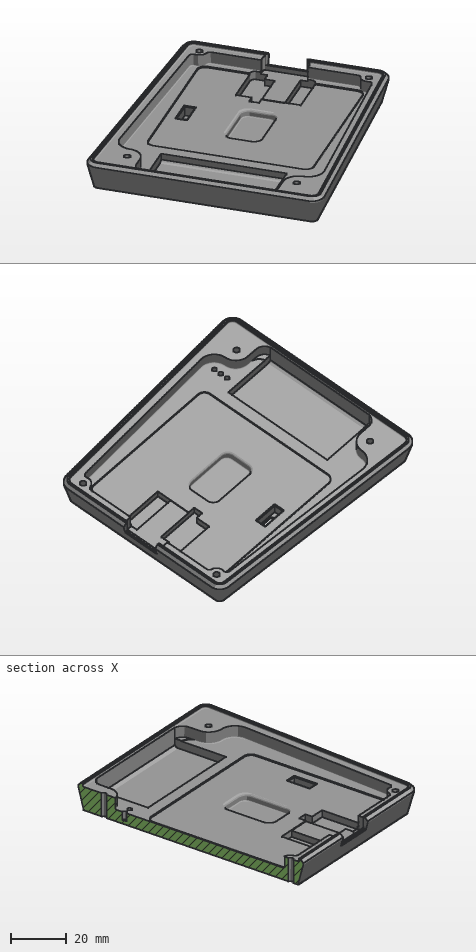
import cadquery as cq
import math

width = 89.25
length = 100.16
height = 10.9
side_lean = math.radians(3.55)
corner_radius = 4.6
rim_chamfer = 1.25
rim_band = 0.7
wall_draft = 15.0

ledge_z = height - 1.2
main_z = 5.0
panel_z = main_z - 0.5
connector_rest_z = panel_z - 0.25
deep_z = 1.7
switch_z = 0.6

base_fillet = 0.4

rim_inset = 2.2
rim_inner_chamfer = 0.25
pocket_side_inset = 4.8
pocket_back_inset = 5.1
pocket_front_inset = 2.6
front_y = -length / 2
back_y = length / 2
pocket_front_y = front_y + pocket_front_inset
pocket_back_y = back_y - pocket_back_inset

screw_x = 32.0
screw_back_y = 44.5
screw_front_y = -38.5
screw_diameter = 2.4
back_boss_radius = 3.0
front_boss_inner_x = 27.0
front_boss_back_y = -33.2
front_boss_radius = 5.8
back_boss_blend = 1.5
front_boss_blend = 6.0
front_shelf_y = -44.6
front_shelf_step = 0.2
front_corner_blend = 4.0

panel_width = 62.5
panel_y_min, panel_y_max = -19.9, 42.6
panel_radius = 3.0

centre_width, centre_length = 13.2, 21.6
centre_y = 6.5
centre_radius = 2.9
centre_lip = 1.1

battery_width = 47.5
battery_back_y = -24.7
battery_round = 1.9
battery_round_reach = 1.6

switch_x, switch_y = -25.2, 8.0
switch_width, switch_length = 3.8, 9.5
switch_lip = 0.35
switch_slot_width, switch_slot_length, switch_slot_radius = 2.8, 4.7, 0.8

led_diameter = 1.8
led_x, led_y = 31.5, -29.4
led_pitch = 3.03

connector_half = 12.3
connector_back_y, connector_front_y = 44.5, 26.3
connector_radius = 1.8
finger_x_min, finger_x_max, finger_y = -6.3, -2.5, 23.3
rest_x_max = 6.2
rest_step_y = 41.2

notch_half = 7.5
notch_inner_half = 8.85
notch_blend = 0.7
throat_blend = 0.6
sill_inset = 2.2
sill_z = 6.2
sill_step_inset = 1.4
sill_step = 0.3


def half_width_at(y, inset=0.0):
    """Half width of the body's straight side line at y, moved inwards by inset."""
    slope = math.tan(side_lean)
    stretch = 1 / math.cos(side_lean)
    front_half = width / 2 + corner_radius * (slope + stretch - 1)
    return front_half - (y - front_y) * slope - inset * stretch


def trapezoid(z, side_inset, front_inset, back_inset):
    y0 = front_y + front_inset
    y1 = back_y - back_inset
    x0 = half_width_at(y0, side_inset)
    x1 = half_width_at(y1, side_inset)
    return cq.Workplane("XY").workplane(offset=z).polyline([(-x0, y0), (x0, y0), (x1, y1), (-x1, y1)]).close()


def block(x0, x1, y0, y1, z0, z1):
    return cq.Workplane("XY").box(x1 - x0, y1 - y0, z1 - z0, centered=False).translate((x0, y0, z0))


def near(x, y):
    """Selector for the upright edge closest to (x, y)."""
    return cq.selectors.NearestToPointSelector((x, y, (main_z + height) / 2))


def make_shell():
    band_z = height - rim_chamfer - rim_band
    upper = trapezoid(band_z, 0, 0, 0).extrude(rim_chamfer + rim_band)
    upper = upper.edges("|Z").fillet(corner_radius).faces(">Z").chamfer(rim_chamfer)
    outline = upper.faces("<Z").wires().toPending()
    lower = outline.workplane(offset=0).extrude(band_z, combine=False, taper=wall_draft)
    return upper.union(lower)


def make_ledge_cut():
    cut = trapezoid(ledge_z, rim_inset, rim_inset, rim_inset).extrude(height - ledge_z)
    cut = cut.edges("|Z").fillet(corner_radius - rim_inset)
    cut = cut.faces("<Z").edges().fillet(base_fillet)
    flare_inset = rim_inset - rim_inner_chamfer
    flare = trapezoid(height - rim_inner_chamfer, flare_inset, flare_inset, flare_inset)
    flare = flare.extrude(2 * rim_inner_chamfer)
    flare = flare.edges("|Z").fillet(corner_radius - flare_inset).faces("<Z").chamfer(rim_inner_chamfer)
    return cut.union(flare)


def make_main_pocket():
    depth = height - main_z
    pocket = trapezoid(main_z, pocket_side_inset, pocket_front_inset, pocket_back_inset).extrude(depth)
    for side in (-1, 1):
        xs = sorted((side * width / 2, side * front_boss_inner_x))
        front_boss = block(*xs, front_y, front_boss_back_y, main_z, height)
        inner_corner = near(side * front_boss_inner_x, front_boss_back_y)
        front_boss = front_boss.edges("|Z").edges(inner_corner).fillet(front_boss_radius)
        back_boss = cq.Workplane("XY").workplane(offset=main_z).center(side * screw_x, screw_back_y)
        back_boss = back_boss.circle(back_boss_radius).extrude(depth)
        pocket = pocket.cut(front_boss).cut(back_boss)
        pocket = cq.Workplane(max(pocket.solids().vals(), key=lambda piece: piece.Volume()))

    for side in (-1, 1):
        side_x = side * half_width_at(front_boss_back_y, pocket_side_inset)
        pocket = pocket.edges("|Z").edges(near(side_x, front_boss_back_y)).fillet(front_boss_blend)
        corner = near(side * front_boss_inner_x, pocket_front_y)
        pocket = pocket.edges("|Z").edges(corner).fillet(front_corner_blend)
        boss_side_x = half_width_at(screw_back_y, pocket_side_inset)
        drop = math.sqrt(back_boss_radius**2 - (boss_side_x - screw_x) ** 2)
        corner = near(side * boss_side_x, screw_back_y - drop)
        pocket = pocket.edges("|Z").edges(corner).fillet(back_boss_blend)
        corner = near(side * (screw_x - back_boss_radius), pocket_back_y)
        pocket = pocket.edges("|Z").edges(corner).fillet(back_boss_blend)
    pocket = pocket.faces("<Z").edges().fillet(base_fillet)
    return pocket.cut(make_front_shelf())


def make_front_shelf():
    """Low strip of floor along the front wall, curving into the front bosses."""
    half = front_boss_inner_x
    top_z = main_z + front_shelf_step
    strip = block(-half, half, pocket_front_y, front_shelf_y + front_corner_blend, main_z, top_z)
    opening = block(-half, half, front_shelf_y, 0, main_z, top_z)
    return strip.cut(opening.edges("|Z and <Y").fillet(front_corner_blend))


def make_panel_recess():
    recess = block(-panel_width / 2, panel_width / 2, panel_y_min, panel_y_max, panel_z, main_z)
    recess = recess.edges("|Z").fillet(panel_radius)
    for side in (-1, 1):
        boss = cq.Workplane("XY").center(side * screw_x, screw_back_y).circle(back_boss_radius).extrude(height)
        recess = recess.cut(boss)
    return recess


def make_centre_pocket():
    pocket = cq.Workplane("XY").workplane(offset=deep_z).center(0, centre_y)
    pocket = pocket.rect(centre_width, centre_length).extrude(panel_z - deep_z)
    pocket = pocket.edges("|Z").fillet(centre_radius)
    return pocket.faces("<Z").edges().fillet(base_fillet)


def round_centre_lip(body):
    """Round over the upper edge of the centre pocket."""
    reach = centre_width / 2 + centre_lip
    lip_zone = cq.selectors.BoxSelector(
        (-reach, centre_y - centre_length, panel_z - base_fillet / 2),
        (reach, centre_y + centre_length, panel_z + base_fillet / 2),
    )
    lip = body.edges(lip_zone).edges(cq.selectors.BoxSelector(
        (-reach, centre_y - centre_length / 2 - centre_lip, 0),
        (reach, centre_y + centre_length / 2 + centre_lip, height),
    ))
    return lip.fillet(centre_lip)


def make_battery_pocket():
    y0, y1 = pocket_front_y, battery_back_y
    rise = battery_round - math.sqrt(battery_round**2 - battery_round_reach**2)
    profile = (
        cq.Workplane("YZ").workplane(offset=-battery_width / 2)
        .moveTo(y0, ledge_z)
        .lineTo(y0, deep_z + rise)
        .radiusArc((y0 + battery_round_reach, deep_z), -battery_round)
        .lineTo(y1 - battery_round_reach, deep_z)
        .radiusArc((y1, deep_z + rise), -battery_round)
        .lineTo(y1, ledge_z)
        .close()
    )
    return profile.extrude(battery_width)


def make_switch_opening():
    pocket = cq.Workplane("XY").box(switch_width, switch_length, main_z - switch_z, centered=(True, True, False))
    slot = cq.Workplane("XY").rect(switch_slot_width, switch_slot_length).extrude(main_z)
    slot = slot.edges("|Z").fillet(switch_slot_radius)
    lip_width = switch_width + 2 * switch_lip
    lip_length = switch_length + 2 * switch_lip
    lip = cq.Workplane("XY").box(lip_width, lip_length, 2 * switch_lip, centered=(True, True, False))
    lip = lip.faces("<Z").chamfer(switch_lip).translate((0, 0, panel_z - switch_lip))
    return pocket.translate((0, 0, switch_z)).union(slot).union(lip).translate((switch_x, switch_y, 0))


def make_connector_pocket():
    pocket = block(-connector_half, connector_half, connector_front_y, connector_back_y, deep_z, main_z)
    pocket = pocket.edges("|Z and >Y").fillet(connector_radius)
    pocket = pocket.union(block(finger_x_min, finger_x_max, finger_y, connector_front_y, deep_z, main_z))
    rest = block(finger_x_max, rest_x_max, connector_front_y, connector_back_y, deep_z, connector_rest_z)
    rest = rest.union(block(finger_x_min, finger_x_max, rest_step_y, connector_back_y, deep_z, connector_rest_z))
    return pocket.cut(rest)


def make_cable_notch():
    inner_y = back_y - sill_inset
    notch = block(-notch_inner_half, notch_inner_half, connector_back_y, inner_y, connector_rest_z, height)
    notch = notch.union(block(-notch_half, notch_half, inner_y, back_y, connector_rest_z, height))
    for side in (-1, 1):
        notch = notch.edges("|Z").edges(near(side * notch_half, inner_y)).fillet(throat_blend)
        notch = notch.edges("|Z").edges(near(side * notch_inner_half, inner_y)).fillet(notch_blend)
    step_y = back_y - sill_step_inset
    half = notch_inner_half
    sill = block(-half, half, inner_y, step_y, connector_rest_z, sill_z)
    sill = sill.union(block(-half, half, step_y, back_y, connector_rest_z, sill_z - sill_step))
    return notch.cut(sill)


def make_screw_holes():
    spots = [(x, y) for x in (-screw_x, screw_x) for y in (screw_front_y, screw_back_y)]
    return cq.Workplane("XY").pushPoints(spots).circle(screw_diameter / 2).extrude(height)


def make_led_holes():
    spots = [(led_x + i * led_pitch, led_y) for i in (-1, 0, 1)]
    holes = cq.Workplane("XY").workplane(offset=deep_z).pushPoints(spots)
    return holes.circle(led_diameter / 2).extrude(main_z - deep_z)


result = make_shell()
for cutter in (
    make_ledge_cut(),
    make_main_pocket(),
    make_panel_recess(),
    make_centre_pocket(),
    make_battery_pocket(),
    make_switch_opening(),
    make_connector_pocket().union(make_cable_notch()),
    make_screw_holes(),
    make_led_holes(),
):
    result = result.cut(cutter)
result = round_centre_lip(result)